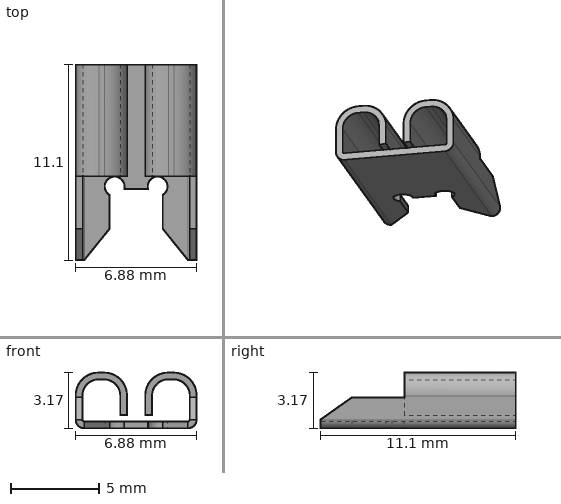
import cadquery as cq

length = 11.1
width = 6.88
height = 3.17
sheet = 0.4
floor_bend_radius = 0.5

curl_start = 4.77
curl_width = 2.93
curl_radius = 1.31
curl_tip_height = 0.75

prong_height = 1.75
prong_taper = 1.78
prong_gap = 3.02
tongue_edge = 4.04
relief_radius = 0.55
relief_x = 1.22
relief_y = 4.18

half_width = width / 2
curl_inner_x = half_width - curl_width
curl_spring = height - curl_radius
inner_bend = floor_bend_radius - sheet


def make_channel():
    """Floor and two side walls, with rounded outer and inner bends."""
    outer = (
        cq.Workplane("XY")
        .box(width, length, curl_spring, centered=(True, False, False))
        .edges("|Y and <Z")
        .fillet(floor_bend_radius)
    )
    inner = (
        cq.Workplane("XY")
        .workplane(offset=sheet)
        .box(width - 2 * sheet, length, curl_spring, centered=(True, False, False))
        .edges("|Y and <Z")
        .fillet(inner_bend)
    )
    return outer.cut(inner)


def make_curl():
    """Right-hand curl: an arch rising from the wall and ending in a free edge."""
    curl_length = length - curl_start
    outer = (
        cq.Workplane("XY")
        .box(curl_width, curl_length, height - curl_tip_height, centered=False)
        .edges("|Y and >Z")
        .fillet(curl_radius)
    )
    inner = (
        cq.Workplane("XY")
        .box(curl_width - 2 * sheet, curl_length, height - curl_tip_height - sheet, centered=False)
        .edges("|Y and >Z")
        .fillet(curl_radius - sheet)
        .translate((sheet, 0, 0))
    )
    return outer.cut(inner).translate((curl_inner_x, curl_start, curl_tip_height))


def make_wall_trim():
    """Material above the prong walls, including their sloping tips."""
    return (
        cq.Workplane("YZ")
        .moveTo(0, floor_bend_radius)
        .lineTo(prong_taper, prong_height)
        .lineTo(curl_start, prong_height)
        .lineTo(curl_start, height)
        .lineTo(0, height)
        .close()
        .extrude(half_width, both=True)
    )


def make_floor_opening():
    """Opening between the prongs, flared at the tips, with round corner reliefs."""
    tip_x = half_width - floor_bend_radius
    gap_x = prong_gap / 2
    opening = (
        cq.Workplane("XY")
        .polyline([
            (-tip_x, 0),
            (tip_x, 0),
            (gap_x, prong_taper),
            (gap_x, tongue_edge),
            (-gap_x, tongue_edge),
            (-gap_x, prong_taper),
        ])
        .close()
        .extrude(sheet)
    )
    reliefs = (
        cq.Workplane("XY")
        .pushPoints([(-relief_x, relief_y), (relief_x, relief_y)])
        .circle(relief_radius)
        .extrude(sheet)
    )
    return opening.union(reliefs)


channel = make_channel().cut(make_wall_trim()).cut(make_floor_opening())
right_curl = make_curl()
left_curl = right_curl.mirror("YZ")
result = channel.union(right_curl).union(left_curl).clean()